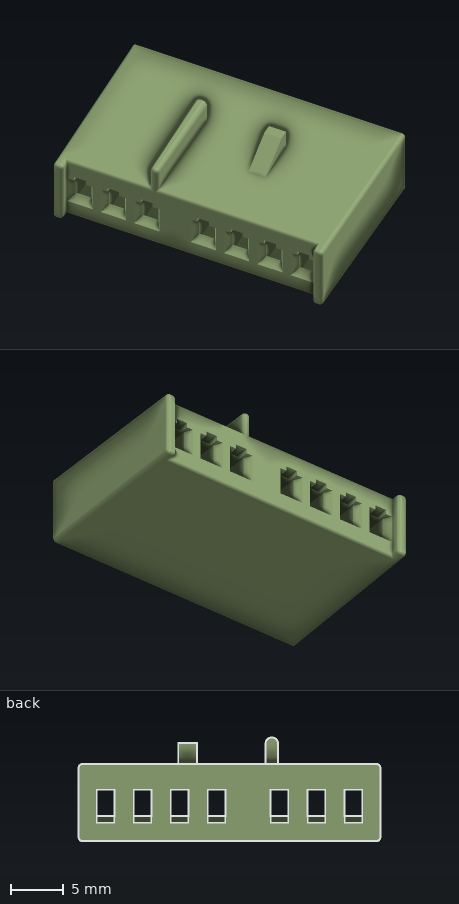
import cadquery as cq
import math

WIDTH = 28.6
LENGTH = 17.95
HEIGHT = 7.32
BODY_DRAFT = 0.5
EDGE_RADIUS = 0.4

EAR_LENGTH = 1.0
EAR_THICKNESS = 1.03
FRONT_FACE_Y = EAR_LENGTH

PITCH = 3.502
OUTER_OPENING_X = 11.72
LEFT_COUNT = 3
RIGHT_COUNT = 4
OPENING_TOP_Z = 4.85
HOLE_WIDTH = 1.65
HOLE_BOTTOM_Z = 2.4
FUNNEL_FLARE = 0.5
FUNNEL_DEPTH = 0.8
LAND_DEPTH = 0.15
CHAMBER_FLOOR_Z = 1.75
NOTCH_WIDTH = 1.23
NOTCH_HEIGHT = 0.5
NOTCH_DEPTH = 1.0

RAISED_REAR_Y = 11.52
RIB_X = -4.0
RIB_TOP_Z = 9.83
RIB_SHOULDER_Z = 9.3
RIB_REAR_WIDTH = 1.2
RIB_DRAFT = 1.0

LATCH_X = 3.97
LATCH_WIDTH = 1.8
LATCH_TOP_Z = 9.32
LATCH_FLAT_LENGTH = 1.0
LATCH_TOE_Y = 6.98

ROOT_Z = HEIGHT - 1.15

MATCH_TOLERANCE = 0.03


def drop_at(y):
    """Distance a drafted side has moved inward at station y."""
    return (LENGTH - y) * math.tan(math.radians(BODY_DRAFT))


def make_body():
    """Tapered block with a recess between the ears and rounded edges except at the rear."""
    rear_plane = cq.Workplane("XZ", origin=(0, LENGTH, HEIGHT / 2))
    block = rear_plane.rect(WIDTH, HEIGHT).extrude(LENGTH, taper=BODY_DRAFT)
    recess_width = WIDTH - 2 * (drop_at(0) + EAR_THICKNESS)
    recess = cq.Workplane("XY").box(recess_width, 2 * EAR_LENGTH, 3 * HEIGHT)
    block = block.cut(recess)
    inner_corner = cq.Vector(recess_width / 2, FRONT_FACE_Y, HEIGHT / 2)

    def is_sharp(edge):
        """True for the upright inner corners where the ears meet the front face."""
        middle = edge.Center()
        return (cq.Vector(abs(middle.x), middle.y, middle.z) - inner_corner).Length < MATCH_TOLERANCE

    rounded = block.edges("not >Y").filter(lambda edge: not is_sharp(edge))
    return rounded.fillet(EDGE_RADIUS)


def make_opening(x):
    """Mouth flared on three sides, short land and deeper chamber, with a slope-ended notch above."""
    hole_height = OPENING_TOP_Z - HOLE_BOTTOM_Z
    land_end_y = FRONT_FACE_Y + FUNNEL_DEPTH + LAND_DEPTH
    land = (
        cq.Workplane("XZ", origin=(x, land_end_y, HOLE_BOTTOM_Z + hole_height / 2))
        .rect(HOLE_WIDTH, hole_height)
        .extrude(LAND_DEPTH)
    )
    chamber_height = OPENING_TOP_Z - CHAMBER_FLOOR_Z
    chamber = (
        cq.Workplane("XZ", origin=(x, land_end_y, CHAMBER_FLOOR_Z + chamber_height / 2))
        .rect(HOLE_WIDTH, chamber_height)
        .extrude(land_end_y - LENGTH)
    )
    mouth_width = HOLE_WIDTH + 2 * FUNNEL_FLARE
    mouth_height = hole_height + FUNNEL_FLARE
    funnel = (
        cq.Workplane("XZ", origin=(x, FRONT_FACE_Y, OPENING_TOP_Z))
        .center(0, -mouth_height / 2)
        .rect(mouth_width, mouth_height)
        .workplane(offset=-FUNNEL_DEPTH)
        .center(0, FUNNEL_FLARE / 2)
        .rect(HOLE_WIDTH, hole_height)
        .loft(ruled=True)
    )
    notch_top_z = OPENING_TOP_Z + NOTCH_HEIGHT
    notch = (
        cq.Workplane("YZ", origin=(x - NOTCH_WIDTH / 2, 0, 0))
        .moveTo(FRONT_FACE_Y, OPENING_TOP_Z)
        .lineTo(FRONT_FACE_Y + NOTCH_DEPTH, OPENING_TOP_Z)
        .lineTo(FRONT_FACE_Y + NOTCH_DEPTH + NOTCH_HEIGHT, notch_top_z)
        .lineTo(FRONT_FACE_Y, notch_top_z)
        .close()
        .extrude(NOTCH_WIDTH)
    )
    return chamber.union(land).union(funnel).union(notch)


def rib_section(y, half_width, rise):
    """Wire of the rib cross-section: straight sides under an arched top."""
    return (
        cq.Workplane("XZ", origin=(RIB_X, y, 0))
        .moveTo(-half_width, ROOT_Z)
        .lineTo(-half_width, RIB_SHOULDER_Z)
        .threePointArc((0, RIB_SHOULDER_Z + rise), (half_width, RIB_SHOULDER_Z))
        .lineTo(half_width, ROOT_Z)
        .close()
        .wires()
        .val()
    )


def make_rib():
    """Tapering rib with an arched top and a fully rounded front end."""
    rear_half = RIB_REAR_WIDTH / 2
    slope = math.tan(math.radians(RIB_DRAFT))
    nose = (rear_half - slope * (RAISED_REAR_Y - FRONT_FACE_Y)) / (1 - slope)
    nose_y = FRONT_FACE_Y + nose
    sections = [
        rib_section(RAISED_REAR_Y, rear_half, RIB_TOP_Z - RIB_SHOULDER_Z),
        rib_section(nose_y, nose, nose),
    ]
    rib = cq.Workplane(cq.Solid.makeLoft(sections, True))
    post = (
        cq.Workplane("XY", origin=(RIB_X, nose_y, ROOT_Z))
        .circle(nose)
        .extrude(RIB_SHOULDER_Z - ROOT_Z)
    )
    cap = cq.Workplane("XY", origin=(RIB_X, nose_y, RIB_SHOULDER_Z)).sphere(nose)
    return rib.union(post).union(cap)


def make_latch():
    """Wedge with an upright rear, a short flat top and a ramp down to the front."""
    toe_z = HEIGHT - drop_at(LATCH_TOE_Y)
    profile = [
        (RAISED_REAR_Y, ROOT_Z),
        (RAISED_REAR_Y, LATCH_TOP_Z),
        (RAISED_REAR_Y - LATCH_FLAT_LENGTH, LATCH_TOP_Z),
        (LATCH_TOE_Y, toe_z),
        (LATCH_TOE_Y, ROOT_Z),
    ]
    return (
        cq.Workplane("YZ", origin=(LATCH_X - LATCH_WIDTH / 2, 0, 0))
        .polyline(profile)
        .close()
        .extrude(LATCH_WIDTH)
    )


opening_positions = [-OUTER_OPENING_X + i * PITCH for i in range(LEFT_COUNT)]
opening_positions += [OUTER_OPENING_X - i * PITCH for i in range(RIGHT_COUNT)]

result = make_body().union(make_rib()).union(make_latch())
for opening_x in opening_positions:
    result = result.cut(make_opening(opening_x))